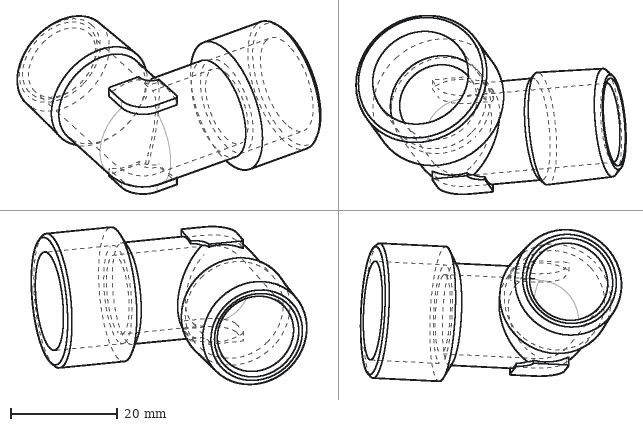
import cadquery as cq
import math


BODY_RADIUS = 19.3 / 2
BORE_RADIUS = 15.0 / 2

MALE_LENGTH = 29.5
MALE_MAX_RADIUS = 10.66
MALE_END_CHAMFER = 1.25
MALE_THREAD_LENGTH = 14.0
TAPER_SLOPE = 1 / 32
MALE_MOUTH_CHAMFER = 0.8

FEMALE_LENGTH = 32.0
COLLAR_RADIUS = 25.5 / 2
COLLAR_LENGTH = 13.4
COLLAR_CHAMFER = 0.65
COLLAR_CONE_ANGLE = 60
SOCKET_RADIUS = 18.63 / 2
SOCKET_DEPTH = COLLAR_LENGTH

PAD_HALF_WIDTH = BODY_RADIUS / 2
PAD_HEIGHT = 10.0
PAD_NOTCH_RADIUS = 2.75
PAD_CORNER_RADIUS = 0.6


def make_male_leg():
    """Solid leg with a tapered thread envelope, turned about the X axis."""
    thread_start = MALE_LENGTH - MALE_END_CHAMFER
    thread_end = MALE_LENGTH - MALE_THREAD_LENGTH
    shoulder = thread_end - (MALE_MAX_RADIUS - BODY_RADIUS)
    small_radius = MALE_MAX_RADIUS - TAPER_SLOPE * (thread_start - thread_end)
    profile = [
        (0, 0),
        (0, BODY_RADIUS),
        (-shoulder, BODY_RADIUS),
        (-thread_end, MALE_MAX_RADIUS),
        (-thread_start, small_radius),
        (-MALE_LENGTH, small_radius - MALE_END_CHAMFER),
        (-MALE_LENGTH, 0),
    ]
    return cq.Workplane("XY").polyline(profile).close().revolve(360, (0, 0, 0), (1, 0, 0))


def make_female_leg():
    """Solid leg with a collar that narrows to the body, turned about the Y axis."""
    collar_start = FEMALE_LENGTH - COLLAR_LENGTH
    cone_length = (COLLAR_RADIUS - BODY_RADIUS) / math.tan(math.radians(COLLAR_CONE_ANGLE))
    profile = [
        (0, 0),
        (BODY_RADIUS, 0),
        (BODY_RADIUS, collar_start - cone_length),
        (COLLAR_RADIUS, collar_start),
        (COLLAR_RADIUS, FEMALE_LENGTH - COLLAR_CHAMFER),
        (COLLAR_RADIUS - COLLAR_CHAMFER, FEMALE_LENGTH),
        (0, FEMALE_LENGTH),
    ]
    return cq.Workplane("XY").polyline(profile).close().revolve(360, (0, 0, 0), (0, 1, 0))


def make_pads():
    """One block through the corner whose two ends stand out as the pads."""
    half = PAD_HALF_WIDTH
    notch_edge = half - PAD_NOTCH_RADIUS
    notch_middle = half - PAD_NOTCH_RADIUS * math.sqrt(0.5)
    corner_middle = half * math.sqrt(0.5)
    block = (
        cq.Workplane("XY")
        .workplane(offset=-PAD_HEIGHT)
        .moveTo(-notch_edge, half)
        .lineTo(half, half)
        .lineTo(half, 0)
        .threePointArc((corner_middle, -corner_middle), (0, -half))
        .lineTo(-half, -half)
        .lineTo(-half, notch_edge)
        .threePointArc((-notch_middle, notch_middle), (-notch_edge, half))
        .close()
        .extrude(2 * PAD_HEIGHT)
    )
    for x_sign in (-1, 1):
        corner = (x_sign * half, x_sign * half, 0)
        block = block.edges(cq.NearestToPointSelector(corner)).fillet(PAD_CORNER_RADIUS)
    return block


def make_male_bore():
    """Bore with a chamfered mouth, turned about the X axis."""
    profile = [
        (0, 0),
        (0, BORE_RADIUS),
        (MALE_MOUTH_CHAMFER - MALE_LENGTH, BORE_RADIUS),
        (-MALE_LENGTH, BORE_RADIUS + MALE_MOUTH_CHAMFER),
        (-MALE_LENGTH, 0),
    ]
    return cq.Workplane("XY").polyline(profile).close().revolve(360, (0, 0, 0), (1, 0, 0))


def make_female_bore():
    """Bore that widens to the thread socket, turned about the Y axis."""
    socket_floor = FEMALE_LENGTH - SOCKET_DEPTH
    profile = [
        (0, 0),
        (BORE_RADIUS, 0),
        (BORE_RADIUS, socket_floor),
        (SOCKET_RADIUS, socket_floor),
        (SOCKET_RADIUS, FEMALE_LENGTH),
        (0, FEMALE_LENGTH),
    ]
    return cq.Workplane("XY").polyline(profile).close().revolve(360, (0, 0, 0), (0, 1, 0))


def make_corner_ball(radius):
    """Ball that rounds the outer side of the elbow corner."""
    return cq.Workplane("XY").sphere(radius)


outside = make_male_leg().union(make_female_leg()).union(make_corner_ball(BODY_RADIUS)).union(make_pads())
passage = make_male_bore().union(make_female_bore()).union(make_corner_ball(BORE_RADIUS))
result = outside.cut(passage)